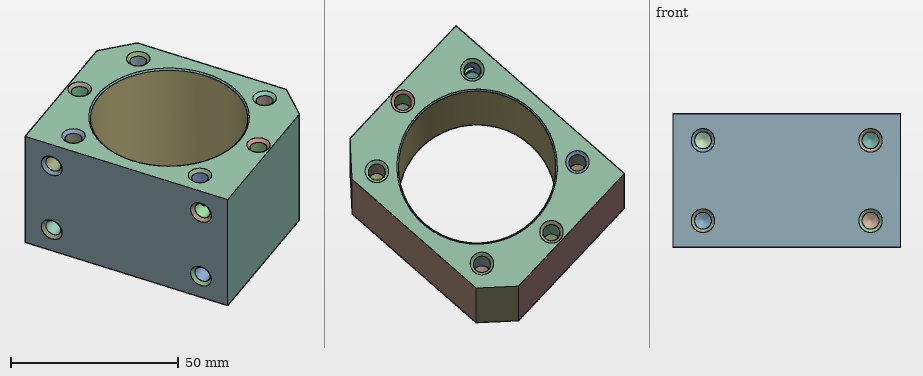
import cadquery as cq
import math

width = 68.0
depth = 56.0
height = 40.0
corner_cut = 9.0

bore_diameter = 47.0
bore_chamfer = 0.5

hole_diameter = 5.0
hole_mouth_diameter = 7.0
hole_depth = 12.0
drill_point_angle = 118.0
countersink_angle = 90.0

hole_circle_radius = 30.0
hole_angles = (0, 45, 135, 180, 225, 315)
front_hole_spacing_x = 50.05
front_hole_spacing_z = 24.0


def make_block():
    """Block centred on the bore axis, base at Z = 0, both +Y corners cut off."""
    block = cq.Workplane("XY").box(width, depth, height, centered=(True, True, False))
    return block.edges("|Z and >Y").chamfer(corner_cut)


def make_bore():
    """Cutter for the through bore with a chamfer at each end."""
    bore_radius = bore_diameter / 2
    mouth_radius = bore_radius + bore_chamfer
    return (
        cq.Workplane("XZ")
        .lineTo(mouth_radius, 0)
        .lineTo(bore_radius, bore_chamfer)
        .lineTo(bore_radius, height - bore_chamfer)
        .lineTo(mouth_radius, height)
        .lineTo(0, height)
        .close()
        .revolve(360, (0, 0), (0, 1))
    )


def make_hole():
    """Cutter for one blind hole: mouth centred on the origin, drilled towards -Z."""
    radius = hole_diameter / 2
    mouth_radius = hole_mouth_diameter / 2
    countersink_depth = (mouth_radius - radius) / math.tan(math.radians(countersink_angle / 2))
    point_depth = radius / math.tan(math.radians(drill_point_angle / 2))
    return (
        cq.Workplane("XZ")
        .lineTo(mouth_radius, 0)
        .lineTo(radius, -countersink_depth)
        .lineTo(radius, -hole_depth)
        .lineTo(0, -hole_depth - point_depth)
        .close()
        .revolve(360, (0, 0), (0, 1))
    )


result = make_block().cut(make_bore())

top_hole = make_hole()
for angle in hole_angles:
    x = hole_circle_radius * math.cos(math.radians(angle))
    y = hole_circle_radius * math.sin(math.radians(angle))
    result = result.cut(top_hole.translate((x, y, height)))

front_hole = make_hole().rotate((0, 0, 0), (1, 0, 0), 90)
for side in (-1, 1):
    for level in (-1, 1):
        x = side * front_hole_spacing_x / 2
        z = height / 2 + level * front_hole_spacing_z / 2
        result = result.cut(front_hole.translate((x, -depth / 2, z)))